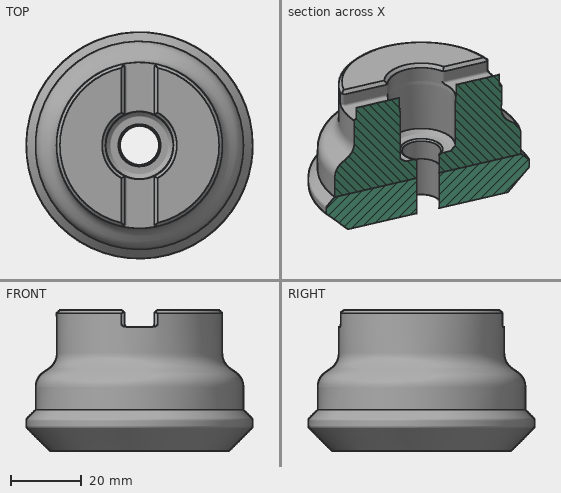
import cadquery as cq
import math

height = 40.0

flange_radius = 32.1
rim_bottom_z = 6.75
rim_top_z = 9.05
rim_fillet = 0.95
flange_bottom_radius = flange_radius - rim_bottom_z
bottom_edge_fillet = 0.4
through_hole_diameter = 11.0

hub_radius = 59.0 / 2
neck_radius = 47.0 / 2
hub_base_z = rim_top_z + flange_radius - hub_radius
shoulder_start_z = 18.2
shoulder_arc_radius = 5.0
shoulder_angle = math.radians(55)

entry_radius = 19.3 / 2
bore_radius = 19.1 / 2
entry_depth = 5.3
entry_taper_height = 1.0
seat_z = 18.0
seat_cone_width = 1.3
seat_fillet = 0.45
seat_hole_chamfer = 0.5

slot_width = 8.3
slot_depth = 4.9
slot_end_fillet = 0.995
slot_floor_fillet = 0.8
top_chamfer = 0.95


def make_flange():
    top_z = hub_base_z
    outline = (
        cq.Workplane("XZ")
        .moveTo(through_hole_diameter / 2, 0)
        .lineTo(flange_bottom_radius, 0)
        .lineTo(flange_radius, rim_bottom_z)
        .lineTo(flange_radius, rim_top_z)
        .lineTo(hub_radius, top_z)
        .lineTo(through_hole_diameter / 2, top_z)
        .close()
    )
    disc = outline.revolve(360, (0, 0, 0), (0, 1, 0))
    largest_circle = cq.selectors.RadiusNthSelector(-1)
    disc = disc.edges("%CIRCLE").edges(largest_circle).fillet(rim_fillet)
    return disc.faces("<Z").edges(largest_circle).fillet(bottom_edge_fillet)


def make_hub_blank():
    """Solid of revolution with an S-shaped shoulder between body and neck."""
    def arc_offset(angle):
        """Inward and upward travel after turning through the angle."""
        inward = shoulder_arc_radius * (1 - math.cos(angle))
        upward = shoulder_arc_radius * math.sin(angle)
        return inward, upward

    half_inward, half_upward = arc_offset(shoulder_angle / 2)
    full_inward, full_upward = arc_offset(shoulder_angle)
    line_inward = hub_radius - neck_radius - 2 * full_inward
    line_upward = line_inward / math.tan(shoulder_angle)
    shoulder_end_z = shoulder_start_z + 2 * full_upward + line_upward

    outline = (
        cq.Workplane("XZ")
        .moveTo(0, hub_base_z)
        .lineTo(hub_radius, hub_base_z)
        .lineTo(hub_radius, shoulder_start_z)
        .threePointArc(
            (hub_radius - half_inward, shoulder_start_z + half_upward),
            (hub_radius - full_inward, shoulder_start_z + full_upward),
        )
        .lineTo(neck_radius + full_inward, shoulder_end_z - full_upward)
        .threePointArc(
            (neck_radius + half_inward, shoulder_end_z - half_upward),
            (neck_radius, shoulder_end_z),
        )
        .lineTo(neck_radius, height - top_chamfer)
        .lineTo(neck_radius - top_chamfer, height)
        .lineTo(0, height)
        .close()
    )
    return outline.revolve(360, (0, 0, 0), (0, 1, 0))


def make_bore_cutter():
    hole_radius = through_hole_diameter / 2
    entry_z = height - entry_depth
    fillet_reach = seat_fillet * math.tan(math.pi / 8)
    fillet_side = seat_fillet * math.sin(math.pi / 4)
    seat_radius = bore_radius - seat_cone_width
    flat_radius = seat_radius - fillet_reach
    fillet_middle = (
        flat_radius + seat_fillet * math.sin(math.pi / 8),
        seat_z + seat_fillet * (1 - math.cos(math.pi / 8)),
    )
    fillet_end = (flat_radius + fillet_side, seat_z + seat_fillet - fillet_side)
    outline = (
        cq.Workplane("XZ")
        .moveTo(0, hub_base_z)
        .lineTo(hole_radius, hub_base_z)
        .lineTo(hole_radius, seat_z - seat_hole_chamfer)
        .lineTo(hole_radius + seat_hole_chamfer, seat_z)
        .lineTo(flat_radius, seat_z)
        .threePointArc(fillet_middle, fillet_end)
        .lineTo(bore_radius, seat_z + seat_cone_width)
        .lineTo(bore_radius, entry_z - entry_taper_height)
        .lineTo(entry_radius, entry_z)
        .lineTo(entry_radius, height - top_chamfer)
        .lineTo(entry_radius + top_chamfer, height)
        .lineTo(0, height)
        .close()
    )
    return outline.revolve(360, (0, 0, 0), (0, 1, 0))


def make_slot_cutter():
    """Half of the slot, on the +Y side, with rounded mouths at the neck and at the bore."""
    wall_x = slot_width / 2
    round_x = wall_x + slot_end_fillet
    half_turn = slot_end_fillet * math.sin(math.pi / 4)

    inner_round_y = math.sqrt((entry_radius + slot_end_fillet) ** 2 - round_x ** 2)
    inner_share = entry_radius / (entry_radius + slot_end_fillet)
    inner_x = round_x * inner_share
    inner_y = inner_round_y * inner_share
    inner_turn = math.atan2(inner_round_y - inner_y, round_x - inner_x) / 2
    inner_middle_x = round_x - slot_end_fillet * math.cos(inner_turn)
    inner_middle_y = inner_round_y - slot_end_fillet * math.sin(inner_turn)
    outer_y = math.sqrt(neck_radius ** 2 - round_x ** 2)
    outer_round_y = outer_y - slot_end_fillet

    cutter = (
        cq.Workplane("XY", origin=(0, 0, height - slot_depth))
        .moveTo(inner_x, 0)
        .lineTo(inner_x, inner_y)
        .threePointArc((inner_middle_x, inner_middle_y), (wall_x, inner_round_y))
        .lineTo(wall_x, outer_round_y)
        .threePointArc((round_x - half_turn, outer_round_y + half_turn), (round_x, outer_y))
        .lineTo(round_x, flange_radius)
        .lineTo(-round_x, flange_radius)
        .lineTo(-round_x, outer_y)
        .threePointArc((half_turn - round_x, outer_round_y + half_turn), (-wall_x, outer_round_y))
        .lineTo(-wall_x, inner_round_y)
        .threePointArc((-inner_middle_x, inner_middle_y), (-inner_x, inner_y))
        .lineTo(-inner_x, 0)
        .close()
        .extrude(slot_depth)
    )
    floor_sides = cq.selectors.BoxSelector(
        (-flange_radius, inner_y / 2, 0), (flange_radius, (outer_y + flange_radius) / 2, height)
    )
    cutter = cutter.faces("<Z").edges(floor_sides).fillet(slot_floor_fillet)
    half_top = slot_width / 2 + top_chamfer
    chamfer = (
        cq.Workplane("XZ")
        .moveTo(-half_top, height)
        .lineTo(half_top, height)
        .lineTo(slot_width / 2, height - top_chamfer)
        .lineTo(-slot_width / 2, height - top_chamfer)
        .close()
        .extrude(-flange_radius)
    )
    return cutter.union(chamfer)


def cut_slot(hub):
    slot_half = make_slot_cutter()
    for angle in (0, 180):
        hub = hub.cut(slot_half.rotate((0, 0, 0), (0, 0, 1), angle))
    return hub


flange = make_flange()
hub = cut_slot(make_hub_blank().cut(make_bore_cutter()))

result = cq.Compound.makeCompound([flange.val(), hub.val()])